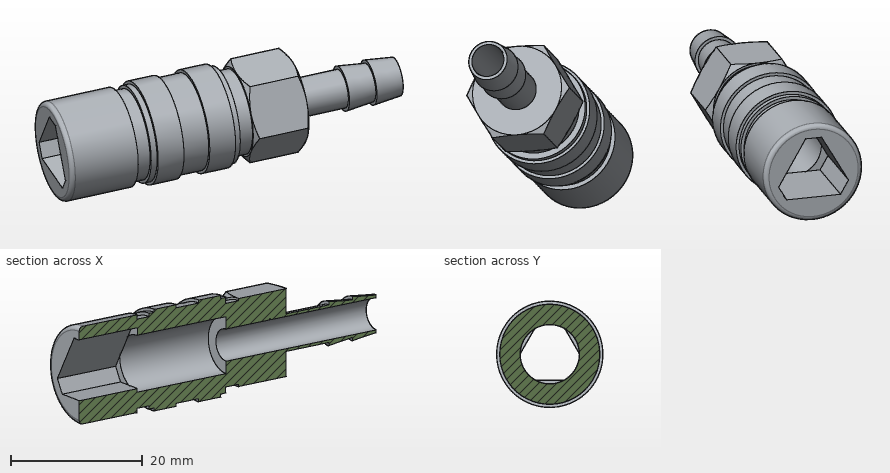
import cadquery as cq
import math

length = 56.0

body_radius = 7.8
body_end = 11.0
body_fillet = 0.7
groove_radius = 7.1
groove_end = 13.15

sleeve_radius = 7.6
flange_diameter = 16.2
flange_width = 4.2
sleeve_lip = 0.95
sleeve_end = 27.65
neck_radius = 6.65

hex_start = 30.0
hex_end = 39.1
hex_flats = 14.0
hex_chamfer_angle = 30.0

stem_radius = 3.0
barb_radius = 3.5
barb_pitch = 4.5
barb_count = 2

bore_radius = 2.5
chamber_radius = 4.5
chamber_end = sleeve_end
socket_depth = body_end
socket_flat_distance = 3.9
socket_tip_distance = 5.65


def cylinder(radius, start, end):
    """Solid cylinder on the Y axis between two stations."""
    return cq.Workplane("XZ", origin=(0, start, 0)).circle(radius).extrude(start - end)


def socket_body():
    body = cylinder(body_radius, 0, body_end)
    return body.faces("<Y").edges().fillet(body_fillet)


def sleeve():
    front_flange = groove_end + sleeve_lip
    rear_flange = sleeve_end - sleeve_lip - flange_width
    part = cylinder(sleeve_radius, groove_end, sleeve_end)
    for start in (front_flange, rear_flange):
        part = part.union(cylinder(flange_diameter / 2, start, start + flange_width))
    return part


def hexagon():
    """Hexagon with its flats facing +Z and -Z, its corners turned off by a cone at both ends."""
    flat_radius = hex_flats / 2
    corner_radius = flat_radius / math.cos(math.radians(30))
    chamfer_height = (corner_radius - flat_radius) * math.tan(math.radians(hex_chamfer_angle))
    prism = (
        cq.Workplane("XZ", origin=(0, hex_start, 0))
        .polygon(6, 2 * corner_radius)
        .extrude(hex_start - hex_end)
    )
    envelope = (
        cq.Workplane("XY")
        .moveTo(0, hex_start)
        .lineTo(flat_radius, hex_start)
        .lineTo(corner_radius, hex_start + chamfer_height)
        .lineTo(corner_radius, hex_end - chamfer_height)
        .lineTo(flat_radius, hex_end)
        .lineTo(0, hex_end)
        .close()
        .revolve(360, (0, 0, 0), (0, 1, 0))
    )
    return prism.intersect(envelope)


def hose_barb():
    """Plain stem with conical barbs that taper towards the free end."""
    part = cylinder(stem_radius, hex_end, length)
    for index in range(barb_count):
        tip = length - index * barb_pitch
        barb = (
            cq.Workplane("XY")
            .moveTo(0, tip)
            .lineTo(stem_radius, tip)
            .lineTo(barb_radius, tip - barb_pitch)
            .lineTo(0, tip - barb_pitch)
            .close()
            .revolve(360, (0, 0, 0), (0, 1, 0))
        )
        part = part.union(barb)
    return part


def socket_cutter():
    """Triangular socket with a flat side at the bottom and its three tips cut off square."""
    tip_half_width = (2 * socket_flat_distance - socket_tip_distance) * math.tan(math.radians(30))
    tip_corner_radius = math.hypot(socket_tip_distance, tip_half_width)
    tip_half_angle = math.atan2(tip_half_width, socket_tip_distance)
    corners = []
    for tip_degrees in (90, 210, 330):
        for side in (-1, 1):
            angle = math.radians(tip_degrees) + side * tip_half_angle
            corners.append((tip_corner_radius * math.cos(angle), tip_corner_radius * math.sin(angle)))
    return cq.Workplane("XZ").polyline(corners).close().extrude(-socket_depth)


result = (
    socket_body()
    .union(cylinder(groove_radius, body_end, groove_end))
    .union(sleeve())
    .union(cylinder(neck_radius, sleeve_end, hex_start))
    .union(hexagon())
    .union(hose_barb())
    .cut(socket_cutter())
    .cut(cylinder(chamber_radius, socket_depth, chamber_end))
    .cut(cylinder(bore_radius, 0, length))
)